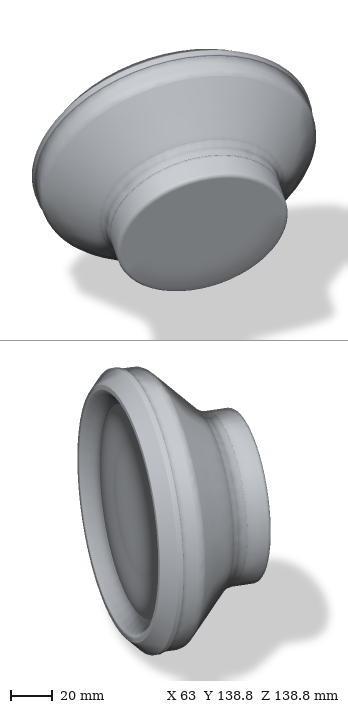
import cadquery as cq
import math

TOTAL_LENGTH = 63.0

RING_RADIUS = 69.4
RING_BEVEL = 7.0
RING_BACK = 9.9
RIM_INNER_RADIUS = 59.8
RING_BORE_RADIUS = 52.2
RING_EDGE_FILLET = 0.5
RIM_INNER_FILLET = 1.0

DRUM_RADIUS = 137.0 / 2
COLLAR_RADIUS = 85.0 / 2
SHOULDER_FILLET = 5.0
SHOULDER_START = 17.8
NECK_FILLET = 10.0
COLLAR_END_FILLET = 2.0

GROOVE_RADIUS = 84.7 / 2
GROOVE_WIDTH = 0.8

FACE_FLAT_RADIUS = 31.9
FACE_EDGE_X = 7.9
FACE_DEPTH = 0.7

TANGENT_SHARE = math.tan(math.radians(45 / 2))

EDGE_TOLERANCE = 0.0001


def revolve_about_x(profile):
    """Turn a closed (axial, radial) profile into a solid about the X axis."""
    return profile.close().revolve(360, (0, 0, 0), (1, 0, 0))


def fillet_circle(body, axial, radial, fillet):
    """Round the circular edge found at the given (axial, radial) place."""
    circle = [
        edge for edge in body.edges("%CIRCLE").vals()
        if math.isclose(edge.radius(), radial, abs_tol=EDGE_TOLERANCE)
        and math.isclose(edge.arcCenter().x, axial, abs_tol=EDGE_TOLERANCE)
    ]
    return body.newObject(circle).fillet(fillet)


def make_ring():
    """Rim ring with a 45 degree bevel outside and inside its front rim."""
    rim_outer_radius = RING_RADIUS - RING_BEVEL
    bore_start = RIM_INNER_RADIUS - RING_BORE_RADIUS
    ring = revolve_about_x(
        cq.Workplane("XY")
        .moveTo(0, RIM_INNER_RADIUS)
        .lineTo(0, rim_outer_radius)
        .lineTo(RING_BEVEL, RING_RADIUS)
        .lineTo(RING_BACK, RING_RADIUS)
        .lineTo(RING_BACK, RING_BORE_RADIUS)
        .lineTo(bore_start, RING_BORE_RADIUS)
    )
    rounded_circles = (
        (bore_start, RING_BORE_RADIUS),
        (0, rim_outer_radius),
        (RING_BEVEL, RING_RADIUS),
        (RING_BACK, RING_RADIUS),
    )
    for axial, radial in rounded_circles:
        ring = fillet_circle(ring, axial, radial, RING_EDGE_FILLET)
    return fillet_circle(ring, 0, RIM_INNER_RADIUS, RIM_INNER_FILLET)


def make_bell():
    """Solid bell with a front plug that fills the bore of the ring."""
    shoulder_x = SHOULDER_START + SHOULDER_FILLET * TANGENT_SHARE
    neck_x = shoulder_x + DRUM_RADIUS - COLLAR_RADIUS
    bell = revolve_about_x(
        cq.Workplane("XY")
        .moveTo(FACE_EDGE_X + FACE_DEPTH, 0)
        .lineTo(FACE_EDGE_X + FACE_DEPTH, FACE_FLAT_RADIUS)
        .lineTo(FACE_EDGE_X, RING_BORE_RADIUS)
        .lineTo(RING_BACK, RING_BORE_RADIUS)
        .lineTo(RING_BACK, DRUM_RADIUS)
        .lineTo(shoulder_x, DRUM_RADIUS)
        .lineTo(neck_x, COLLAR_RADIUS)
        .lineTo(TOTAL_LENGTH, COLLAR_RADIUS)
        .lineTo(TOTAL_LENGTH, 0)
    )
    bell = fillet_circle(bell, shoulder_x, DRUM_RADIUS, SHOULDER_FILLET)
    bell = fillet_circle(bell, neck_x, COLLAR_RADIUS, NECK_FILLET)
    bell = fillet_circle(bell, TOTAL_LENGTH, COLLAR_RADIUS, COLLAR_END_FILLET)
    return bell.cut(make_groove(neck_x + NECK_FILLET * TANGENT_SHARE))


def make_groove(start):
    """Thin annular cutter reaching down to the groove floor."""
    return (
        cq.Workplane("YZ", origin=(start, 0, 0))
        .circle(DRUM_RADIUS)
        .circle(GROOVE_RADIUS)
        .extrude(GROOVE_WIDTH)
    )


ring = make_ring()
bell = make_bell()
result = cq.Compound.makeCompound([ring.val(), bell.val()])